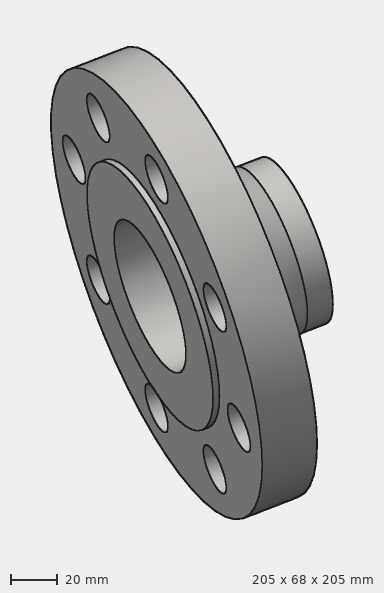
import cadquery as cq

flange_diameter = 205.0
flange_thickness = 26.0
raised_face_diameter = 122.2
raised_face_height = 3.0
total_length = 68.0
neck_diameter = 76.0
neck_length = 12.0
hub_base_diameter = 97.5
hub_fillet_radius = 6.0
bore_diameter = 69.7
bolt_circle_diameter = 160.0
bolt_hole_diameter = 22.1
bolt_count = 8

flange_back = raised_face_height + flange_thickness
neck_start = total_length - neck_length


def disc(diameter, start, end):
    """Cylinder on the Y axis between two Y positions."""
    return cq.Workplane("XZ", origin=(0, start, 0)).circle(diameter / 2).extrude(start - end)


def make_hub():
    """Flange plate and tapered hub, with a fillet where they meet."""
    profile = (
        cq.Workplane("XY")
        .moveTo(0, raised_face_height)
        .lineTo(flange_diameter / 2, raised_face_height)
        .lineTo(flange_diameter / 2, flange_back)
        .lineTo(hub_base_diameter / 2, flange_back)
        .lineTo(neck_diameter / 2, neck_start)
        .lineTo(neck_diameter / 2, total_length)
        .lineTo(0, total_length)
        .close()
    )
    body = profile.revolve(360, (0, 0, 0), (0, 1, 0))
    hub_root = cq.selectors.RadiusNthSelector(1)
    return body.edges("%CIRCLE").edges(hub_root).fillet(hub_fillet_radius)


def make_bolt_holes():
    """Through holes equally spaced on the bolt circle, the first on +X."""
    return (
        cq.Workplane("XZ")
        .polarArray(bolt_circle_diameter / 2, 0, 360, bolt_count)
        .circle(bolt_hole_diameter / 2)
        .extrude(-total_length)
    )


raised_face = disc(raised_face_diameter, 0, raised_face_height)
bore = disc(bore_diameter, 0, total_length)

result = make_hub().union(raised_face).cut(bore).cut(make_bolt_holes())